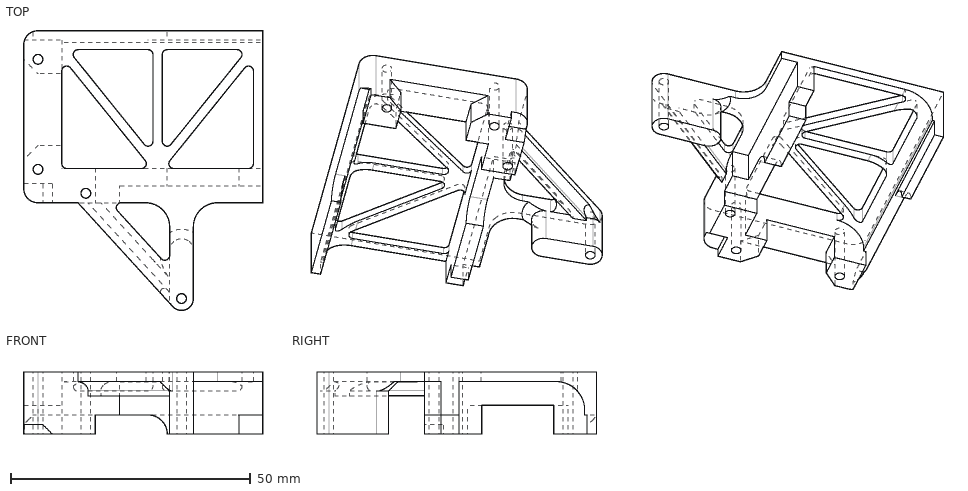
import cadquery as cq
import math

BODY_X = 50.0
BODY_Y = 36.0
HEIGHT = 13.0
PLATE = 2.0
CORNER_R = 3.0
UNDERSIDE = HEIGHT - PLATE

WINDOW_LEFT = 8.0
WINDOW_RIGHT = BODY_X - 2.0
WINDOW_FRONT = 7.2
WINDOW_BACK = BODY_Y - 4.0
RIB = 2.0
WINDOW_R = 1.0
WINDOW_MID = (WINDOW_LEFT + WINDOW_RIGHT) / 2

BACK_WALL = 2.0
BACK_WALL_UPPER = 2.5
BACK_COVE_R = 6.0
RIGHT_FRONT_SETBACK = 3.5
SETBACK_X = 20.0

OPENING_HEIGHT = 4.0
OPENING_X0 = 15.0
OPENING_X1 = 30.0
SIDE_NOTCH_HEIGHT = 6.0
SIDE_NOTCH_Y0 = 12.0
SIDE_NOTCH_Y1 = 27.0
SIDE_NOTCH_BEVEL = 3.0
RIGHT_NOTCH = 5.0
STEP_HEIGHT = 2.0
STEP_DEPTH = 4.0

TAIL_X0 = 11.35
TIP_X = 33.0
TIP_Y = -20.0
TIP_R = 2.5
TAIL_ROOT_R = 5.0
LEG_BACK_Y = -10.0
TAIL_BAND = 5.0
STIFFENER_WIDTH = 2.0
STIFFENER_BOTTOM = 8.0
STIFFENER_INSET = 1.55
STIFFENER_FILLET = 1.9
LEG_FLARE = 2.0

HOLE_D = 2.0
HOLE_CENTRES = [(3.0, 30.0), (3.0, 7.0), (13.0, 2.0), (TIP_X, TIP_Y)]

TIP_DX = TIP_X - TAIL_X0
SLANT = math.atan2(TIP_Y, TIP_DX) - math.asin(TIP_R / math.hypot(TIP_DX, TIP_Y))
ALONG = (math.cos(SLANT), math.sin(SLANT))
INWARD = (-math.sin(SLANT), math.cos(SLANT))


def box(x0, x1, y0, y1, z0, z1):
    """Box between two opposite corners."""
    return cq.Workplane("XY").box(x1 - x0, y1 - y0, z1 - z0, centered=False).translate((x0, y0, z0))


def slanted_x(inset, y):
    """X at position y on the line parallel to the slanted tail edge, inset into the tail."""
    return TAIL_X0 + inset / INWARD[0] + y * ALONG[0] / ALONG[1]


def make_body():
    """Plate with a left, a front and a back wall; open on the right side."""
    body = box(0, BODY_X, 0, BODY_Y, 0, HEIGHT).edges("|Z and <X").fillet(CORNER_R)
    cavity = box(WINDOW_LEFT, BODY_X, WINDOW_FRONT, BODY_Y - BACK_WALL_UPPER, 0, UNDERSIDE)
    cavity = cavity.edges("|X and >Y and >Z").fillet(BACK_COVE_R)
    thinning = box(WINDOW_LEFT, BODY_X, WINDOW_FRONT, BODY_Y - BACK_WALL, 0, OPENING_HEIGHT)
    setback = box(SETBACK_X, BODY_X, 0, RIGHT_FRONT_SETBACK, 0, UNDERSIDE)
    return body.cut(cavity).cut(thinning).cut(setback)


def rounded_opening(left_points, y0):
    """Opening from y0 to the back, quarter-round at the right; left_points run from its top to z = 0."""
    arc_x = OPENING_X1 - OPENING_HEIGHT
    arc_mid = OPENING_HEIGHT * math.sqrt(0.5)
    return (
        cq.Workplane("XZ", origin=(0, y0, 0))
        .moveTo(OPENING_X1, 0)
        .threePointArc((arc_x + arc_mid, arc_mid), (arc_x, OPENING_HEIGHT))
        .polyline(left_points, includeCurrent=True)
        .close()
        .extrude(y0 - BODY_Y)
    )


def make_wall_openings():
    """All cut-outs that rise from the feet into the walls."""
    middle = rounded_opening([(OPENING_X0, OPENING_HEIGHT), (OPENING_X0, 0)], 0)
    bevel = OPENING_HEIGHT - STEP_HEIGHT
    back = rounded_opening([(bevel, OPENING_HEIGHT), (0, STEP_HEIGHT), (0, 0)], BODY_Y - BACK_WALL)
    side = (
        cq.Workplane("XY")
        .polyline([
            (0, SIDE_NOTCH_Y0 - SIDE_NOTCH_BEVEL), (SIDE_NOTCH_BEVEL, SIDE_NOTCH_Y0),
            (WINDOW_LEFT, SIDE_NOTCH_Y0), (WINDOW_LEFT, SIDE_NOTCH_Y1),
            (SIDE_NOTCH_BEVEL, SIDE_NOTCH_Y1), (0, SIDE_NOTCH_Y1 + SIDE_NOTCH_BEVEL),
        ]).close()
        .extrude(SIDE_NOTCH_HEIGHT)
    )
    step = (
        cq.Workplane("XZ")
        .polyline([
            (0, 0), (STEP_DEPTH + STEP_HEIGHT, 0),
            (STEP_DEPTH, STEP_HEIGHT), (0, STEP_HEIGHT),
        ]).close()
        .extrude(-STEP_DEPTH)
    )
    right = box(BODY_X - RIGHT_NOTCH, BODY_X, 0, WINDOW_FRONT, 0, OPENING_HEIGHT)
    return middle.union(back).union(side).union(step).union(right)


def window(points):
    """Round-cornered window through the top plate."""
    return cq.Workplane("XY").polyline(points).close().extrude(HEIGHT).edges("|Z").fillet(WINDOW_R)


def make_windows():
    """Four triangular windows between a middle rib and two diagonal ribs."""
    slope = (WINDOW_BACK - WINDOW_FRONT) / (WINDOW_MID - WINDOW_LEFT)
    rib_dy = RIB / 2 * math.hypot(1, slope)
    rib_dx = rib_dy / slope
    rib_side = WINDOW_MID - RIB / 2
    back = window([
        (WINDOW_LEFT + rib_dx, WINDOW_BACK), (rib_side, WINDOW_BACK),
        (rib_side, WINDOW_FRONT + slope * RIB / 2 + rib_dy),
    ])
    front = window([
        (WINDOW_LEFT, WINDOW_BACK - rib_dy), (WINDOW_LEFT, WINDOW_FRONT),
        (WINDOW_MID - rib_dx, WINDOW_FRONT),
    ])
    left = back.union(front)
    return left.union(left.mirror("YZ", (WINDOW_MID, 0, 0)))


def make_leg():
    """Slot-shaped leg, flaring out at 45 degrees just below the plate."""
    length = LEG_BACK_Y - TIP_Y + 2 * TIP_R
    middle_y = (TIP_Y + LEG_BACK_Y) / 2
    flare_bottom = UNDERSIDE - LEG_FLARE
    shaft = cq.Workplane("XY").center(TIP_X, middle_y).slot2D(length, 2 * TIP_R, 90).extrude(UNDERSIDE)
    flare = (
        cq.Workplane("XY", origin=(TIP_X, middle_y, flare_bottom))
        .slot2D(length, 2 * TIP_R, 90)
        .extrude(LEG_FLARE, taper=-45)
    )
    return shaft.union(flare)


def make_stiffener():
    """Oversized slab of plate with the slanted stiffener blended in along both sides."""
    near = STIFFENER_INSET
    far = near + STIFFENER_WIDTH
    front_y = 2 * TIP_Y
    back_y = -TIP_Y
    slab = box(-BODY_X, 2 * BODY_X, front_y, back_y, UNDERSIDE, HEIGHT)
    stiffener = (
        cq.Workplane("XY", origin=(0, 0, STIFFENER_BOTTOM))
        .polyline([
            (slanted_x(near, back_y), back_y), (slanted_x(near, front_y), front_y),
            (slanted_x(far, front_y), front_y), (slanted_x(far, back_y), back_y),
        ]).close()
        .extrude(UNDERSIDE - STIFFENER_BOTTOM)
    )
    slanted = cq.selectors.ParallelDirSelector(cq.Vector(ALONG[0], ALONG[1], 0))
    return slab.union(stiffener).edges(slanted).edges(">Z").fillet(STIFFENER_FILLET)


def make_tail():
    """Triangular arm with a leg under its tip and a stiffener under its slanted edge."""
    right_x = TIP_X + TIP_R
    touch = (TIP_X - TIP_R * INWARD[0], TIP_Y - TIP_R * INWARD[1])
    root_mid = TAIL_ROOT_R * (1 - math.sqrt(0.5))
    outline = (
        cq.Workplane("XY")
        .moveTo(TAIL_X0, 0)
        .lineTo(*touch)
        .threePointArc((TIP_X, TIP_Y - TIP_R), (right_x, TIP_Y))
        .lineTo(right_x, -TAIL_ROOT_R)
        .threePointArc((right_x + root_mid, -root_mid), (right_x + TAIL_ROOT_R, 0))
        .close()
        .extrude(HEIGHT)
    )
    return make_stiffener().union(make_leg()).intersect(outline)


def make_tail_window():
    """Triangular window through the tail, with a wide curve at the root of the leg arm."""
    left_x = TIP_X - TIP_R
    y_low = (left_x - slanted_x(TAIL_BAND, 0)) * ALONG[1] / ALONG[0]
    corners = [(slanted_x(TAIL_BAND, 0), 0), (left_x, 0), (left_x, y_low)]
    blank = cq.Workplane("XY").polyline(corners).close().extrude(HEIGHT)
    blank = blank.edges("|Z and >X and >Y").fillet(TAIL_ROOT_R)
    return blank.edges("|Z and (<X or <Y)").fillet(WINDOW_R)


body = make_body().cut(make_wall_openings()).cut(make_windows())
tail = make_tail().cut(make_tail_window())
holes = cq.Workplane("XY").pushPoints(HOLE_CENTRES).circle(HOLE_D / 2).extrude(HEIGHT)
result = body.union(tail).cut(holes)